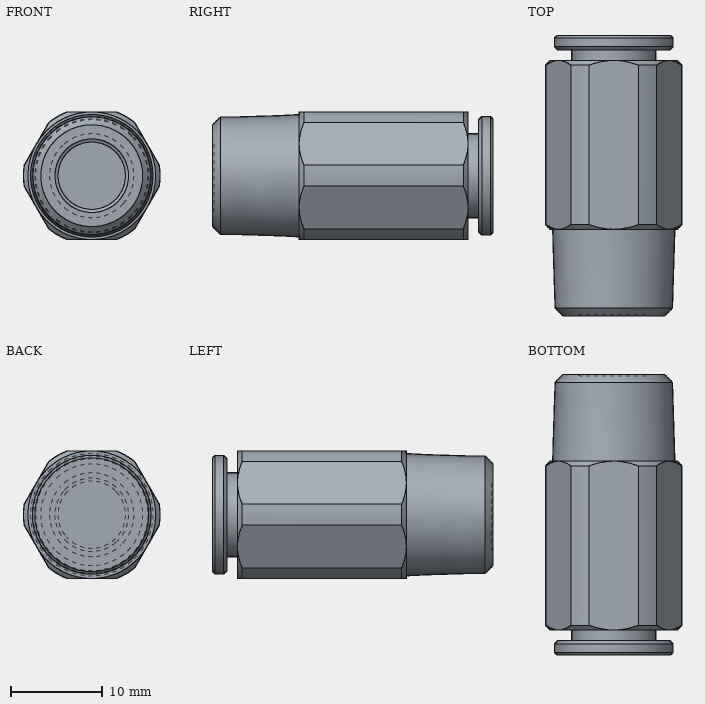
import cadquery as cq
import math


total_length = 30.75
hex_start = 9.5
hex_end = 28.0
collar_length = 1.6
collar_start = total_length - collar_length

across_flats = 14.0
across_corners = 15.0
hex_chamfer_length = 0.52
hex_radius = across_corners / 2
hex_end_radius = across_flats / 2

thread_tip_diameter = 12.88
thread_chamfer = 0.85
thread_taper = 1 / 16
thread_tip_radius = thread_tip_diameter / 2
thread_base_radius = thread_tip_radius + (hex_start - thread_chamfer) * thread_taper / 2

neck_radius = 4.6
collar_radius = 6.52
collar_back_chamfer = 0.28
collar_front_chamfer = 0.37

recess_mouth_radius = 4.03
recess_floor_radius = 3.7
recess_depth = 0.18


def revolve_about_axis(profile):
    """Revolve a closed list of (radius, Y) points about the Y axis."""
    return cq.Workplane("XY").polyline(profile).close().revolve(360, (0, 0, 0), (0, 1, 0))


def make_thread():
    return revolve_about_axis([
        (0, 0),
        (thread_tip_radius - thread_chamfer, 0),
        (thread_tip_radius, thread_chamfer),
        (thread_base_radius, hex_start),
        (0, hex_start),
    ])


def make_hex_body():
    """Hexagonal bar trimmed by a cylinder that is chamfered at both ends."""
    hex_length = hex_end - hex_start
    sharp_corner_diameter = across_flats / math.cos(math.pi / 6)
    bar = (
        cq.Workplane("XZ", origin=(0, hex_end, 0))
        .polygon(6, sharp_corner_diameter)
        .extrude(hex_length)
    )
    envelope = revolve_about_axis([
        (0, hex_start),
        (hex_end_radius, hex_start),
        (hex_radius, hex_start + hex_chamfer_length),
        (hex_radius, hex_end - hex_chamfer_length),
        (hex_end_radius, hex_end),
        (0, hex_end),
    ])
    return bar.intersect(envelope)


def make_collar():
    return revolve_about_axis([
        (0, hex_end),
        (neck_radius, hex_end),
        (neck_radius, collar_start),
        (collar_radius - collar_front_chamfer, collar_start),
        (collar_radius, collar_start + collar_front_chamfer),
        (collar_radius, total_length - collar_back_chamfer),
        (collar_radius - collar_back_chamfer, total_length),
        (0, total_length),
    ])


def make_recess():
    return revolve_about_axis([
        (0, 0),
        (recess_mouth_radius, 0),
        (recess_floor_radius, recess_depth),
        (0, recess_depth),
    ])


result = make_hex_body().union(make_thread()).union(make_collar()).cut(make_recess())